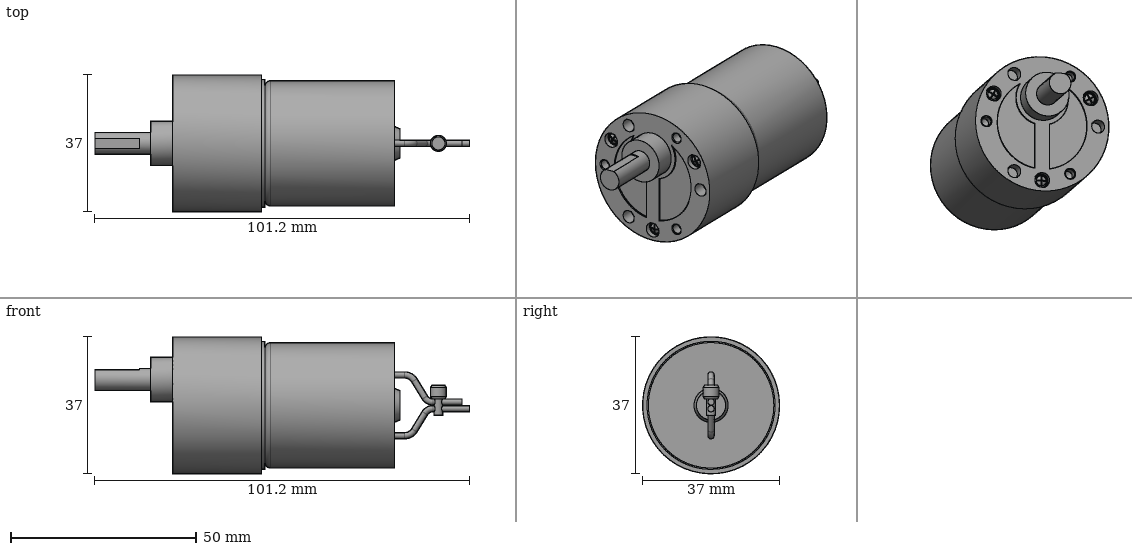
import cadquery as cq
import math


OVERALL_LENGTH = 101.2
OVERLAP = 0.5

gearbox_diameter = 37.0
gearbox_length = 24.0
ring_diameter = 34.6
ring_length = 0.9
motor_diameter = 33.9
motor_length = 35.0
motor_front_fillet = 1.5
end_cap_base_diameter = 9.2
end_cap_tip_diameter = 7.9
end_cap_length = 1.5
motor_start = gearbox_length + ring_length
motor_end = motor_start + motor_length

shaft_offset = 7.0
shaft_diameter = 6.0
shaft_length = 21.1
flat_length = 12.0
flat_depth = 0.3
boss_diameter = 12.0
boss_length = 6.0

pocket_diameter = 24.9
pocket_depth = 0.5
collar_diameter = 14.5
web_width = 4.0

bolt_circle_radius = 15.5
holes_per_kind = 3
plain_hole_angle = 60.0
plain_hole_diameter = 3.5
plain_hole_depth = 4.0
tapped_hole_angle = 0.0
tapped_hole_diameter = 2.5
tapped_hole_depth = 3.0
tapped_mouth_diameter = 3.0
drill_point_angle = 118.0
screw_angle = 30.0
screw_recess_diameter = 4.0
screw_recess_depth = 1.6
screw_head_diameter = 3.4
screw_head_height = 0.9
screw_dome_diameter = 2.7
screw_dome_height = 0.5
screw_slot_width = 0.2
screw_slot_depth = 0.4

wire_diameter = 1.7
wire_exit_height = 8.2
wire_pair_height = 0.9
first_corner_x = 64.4
second_corner_x = 68.8
first_bend_radius = 3.0
second_bend_radius = 2.5
wire_length_difference = 2.0
long_wire_end = OVERALL_LENGTH - shaft_length
short_wire_end = long_wire_end - wire_length_difference

capacitor_x = 71.8
capacitor_diameter = 4.4
capacitor_bottom = 1.7
capacitor_top = 5.5
capacitor_chamfer_height = 0.7
capacitor_chamfer_width = 0.4
stem_diameter = 2.4
stem_bottom = -2.7


def rod(start, end, diameter, y=0.0, z=0.0):
    """Cylinder along X from start to end."""
    axis_start = cq.Workplane("YZ", origin=(start, y, z))
    return axis_start.circle(diameter / 2).extrude(end - start)


def cone(start, end, start_diameter, end_diameter, y=0.0, z=0.0):
    """Cone along X; an end diameter of zero gives a point."""
    solid = cq.Solid.makeCone(
        start_diameter / 2, end_diameter / 2, end - start, cq.Vector(start, y, z), cq.Vector(1, 0, 0)
    )
    return cq.Workplane(solid)


def bolt_circle(first_angle):
    """Y, Z places of one kind of hole; angles run from +Y towards +Z."""
    places = []
    for i in range(holes_per_kind):
        angle = math.radians(first_angle + i * 360 / holes_per_kind)
        places.append((bolt_circle_radius * math.cos(angle), bolt_circle_radius * math.sin(angle)))
    return places


def make_bodies():
    gearbox = rod(0, gearbox_length, gearbox_diameter)
    ring = rod(gearbox_length - OVERLAP, motor_start, ring_diameter)
    motor = rod(motor_start, motor_end, motor_diameter).faces("<X").edges().fillet(motor_front_fillet)
    end_cap = cone(motor_end, motor_end + end_cap_length, end_cap_base_diameter, end_cap_tip_diameter)
    return gearbox.union(ring).union(motor).union(end_cap)


def make_shaft():
    boss = rod(-boss_length, OVERLAP, boss_diameter, z=shaft_offset)
    shaft = rod(-shaft_length, OVERLAP, shaft_diameter, z=shaft_offset)
    flat = cq.Workplane().box(flat_length, shaft_diameter, flat_depth, centered=(False, True, False))
    flat_height = shaft_offset + shaft_diameter / 2 - flat_depth
    return shaft.cut(flat.translate((-shaft_length, 0, flat_height))).union(boss)


def make_pocket():
    web = cq.Workplane().box(
        pocket_depth, web_width, shaft_offset + pocket_diameter, centered=(False, True, False)
    )
    disc = rod(0, pocket_depth, pocket_diameter)
    collar = rod(0, pocket_depth, collar_diameter, z=shaft_offset)
    return disc.cut(collar).cut(web.translate((0, 0, -pocket_diameter)))


def make_tapped_hole(y, z):
    mouth_depth = (tapped_mouth_diameter - tapped_hole_diameter) / 2
    point_length = tapped_hole_diameter / 2 / math.tan(math.radians(drill_point_angle / 2))
    mouth = cone(0, mouth_depth, tapped_mouth_diameter, tapped_hole_diameter, y, z)
    bore = rod(0, tapped_hole_depth, tapped_hole_diameter, y, z)
    point = cone(tapped_hole_depth, tapped_hole_depth + point_length, tapped_hole_diameter, 0, y, z)
    return mouth.union(bore).union(point)


def make_screw_head(y, z):
    """Domed head with a cross slot, standing on the floor of its recess."""
    seat = screw_recess_depth
    shoulder = seat - screw_head_height + screw_dome_height
    top = seat - screw_head_height
    dome_middle = (top + screw_dome_height / 4, screw_dome_diameter / 4)
    head = (
        cq.Workplane("XY")
        .moveTo(seat + OVERLAP, 0)
        .lineTo(top, 0)
        .threePointArc(dome_middle, (shoulder, screw_dome_diameter / 2))
        .lineTo(shoulder, screw_head_diameter / 2)
        .lineTo(seat + OVERLAP, screw_head_diameter / 2)
        .close()
        .revolve(360, (0, 0, 0), (1, 0, 0))
    )
    slot = cq.Workplane(origin=(top, 0, 0)).box(
        screw_slot_depth, screw_dome_diameter, screw_slot_width, centered=(False, True, True)
    )
    cross = slot.union(slot.rotate((0, 0, 0), (1, 0, 0), 90))
    turn = math.degrees(math.atan2(z, y))
    return head.cut(cross).rotate((0, 0, 0), (1, 0, 0), turn).translate((0, y, z))


def make_wire(side, end):
    """Bent wire; side is +1 for the upper wire and -1 for the lower one."""
    slope = math.atan2(wire_exit_height - wire_pair_height, second_corner_x - first_corner_x)
    exit_z = side * wire_exit_height
    pair_z = side * wire_pair_height
    along = (1, 0)
    inward = (math.cos(slope), -side * math.sin(slope))

    def bend(path, corner, radius, way_in, way_out):
        """Run straight up to a corner and round it with an arc from way_in to way_out (unit vectors)."""
        setback = radius * math.tan(slope / 2)
        arc_start = (corner[0] - setback * way_in[0], corner[1] - setback * way_in[1])
        arc_end = (corner[0] + setback * way_out[0], corner[1] + setback * way_out[1])
        return path.lineTo(*arc_start).tangentArcPoint(arc_end, relative=False)

    start = motor_end - OVERLAP
    path = cq.Workplane("XZ").moveTo(start, exit_z)
    path = bend(path, (first_corner_x, exit_z), first_bend_radius, along, inward)
    path = bend(path, (second_corner_x, pair_z), second_bend_radius, inward, along)
    path = path.lineTo(end, pair_z)
    section = cq.Workplane("YZ", origin=(start, 0, exit_z)).circle(wire_diameter / 2)
    return section.sweep(path)


def make_capacitor():
    radius = capacitor_diameter / 2
    end_radius = radius - capacitor_chamfer_width
    case = (
        cq.Workplane("XZ")
        .moveTo(0, capacitor_bottom)
        .lineTo(end_radius, capacitor_bottom)
        .lineTo(radius, capacitor_bottom + capacitor_chamfer_height)
        .lineTo(radius, capacitor_top - capacitor_chamfer_height)
        .lineTo(end_radius, capacitor_top)
        .lineTo(0, capacitor_top)
        .close()
        .revolve(360, (0, 0, 0), (0, 1, 0))
        .translate((capacitor_x, 0, 0))
    )
    stem = cq.Workplane(origin=(capacitor_x, 0, stem_bottom)).circle(stem_diameter / 2)
    return case.union(stem.extrude(capacitor_bottom + OVERLAP - stem_bottom))


result = make_bodies().cut(make_pocket()).union(make_shaft())
for y, z in bolt_circle(plain_hole_angle):
    result = result.cut(rod(0, plain_hole_depth, plain_hole_diameter, y, z))
for y, z in bolt_circle(tapped_hole_angle):
    result = result.cut(make_tapped_hole(y, z))
for y, z in bolt_circle(screw_angle):
    result = result.cut(rod(0, screw_recess_depth, screw_recess_diameter, y, z))
    result = result.union(make_screw_head(y, z))

result = result.union(make_wire(1, short_wire_end)).union(make_wire(-1, long_wire_end))
result = result.union(make_capacitor())